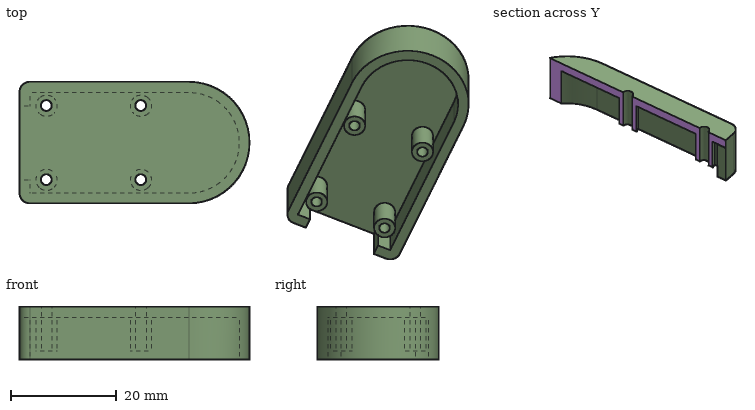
import cadquery as cq

length = 43.5
width = 23.0
height = 10.0
corner_radius = 2.0

wall = 2.0
roof = 2.0
opening_width = 14.0

post_diameter = 4.0
hole_diameter = 2.0
post_end_height = 1.7
post_first_x = 5.1
post_spacing_x = 17.85
post_spacing_y = 14.0

cavity_height = height - roof


def round_ended_block(start_x, end_x, block_width, block_height):
    """Block from Z = 0 with a flat end at start_x and a half-round end at end_x."""
    radius = block_width / 2
    arc_x = end_x - radius
    return (
        cq.Workplane("XY")
        .moveTo(start_x, -radius)
        .lineTo(arc_x, -radius)
        .threePointArc((end_x, 0), (arc_x, radius))
        .lineTo(start_x, radius)
        .close()
        .extrude(block_height)
    )


body = round_ended_block(0, length, width, height)
body = body.edges("|Z and <X").fillet(corner_radius)

cavity = round_ended_block(wall, length - wall, width - 2 * wall, cavity_height)
body = body.cut(cavity)

opening = cq.Workplane("XY").box(
    2 * wall, opening_width, cavity_height, centered=(True, True, False)
)
body = body.cut(opening)

post_points = [
    (x, y)
    for x in (post_first_x, post_first_x + post_spacing_x)
    for y in (-post_spacing_y / 2, post_spacing_y / 2)
]
posts = (
    cq.Workplane("XY", origin=(0, 0, post_end_height))
    .pushPoints(post_points)
    .circle(post_diameter / 2)
    .extrude(height - post_end_height)
)
holes = cq.Workplane("XY").pushPoints(post_points).circle(hole_diameter / 2).extrude(height)

result = body.union(posts).cut(holes)